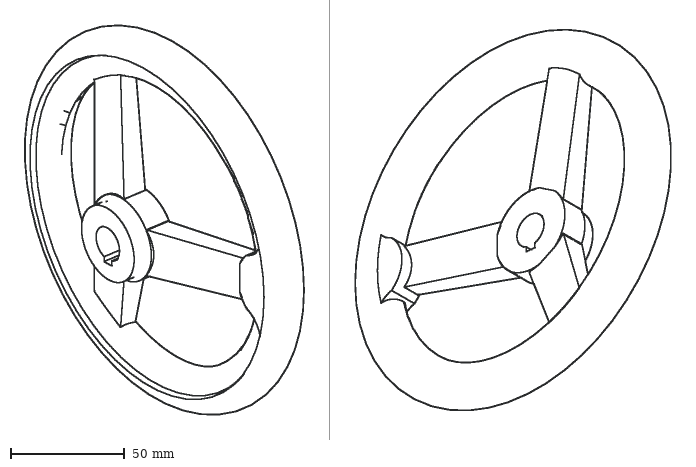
import cadquery as cq
import math


arc_inset = 1 - math.sqrt(0.5)

wheel_radius = 90.0
rim_width = 20.0
rim_crown_radius = rim_width / 2
rim_crest_radius = wheel_radius - rim_crown_radius
step_radius = 79.2
step_depth = 2.7
dish_inner_radius = 71.1
dish_inner_y = -15.0
rim_inner_radius = 68.0
dish_y = step_depth - rim_width

total_width = 42.5
hub_radius = 20.3
nose_radius = 18.0
hub_front_y = -34.5
hub_back_y = -21.5
cove_end_y = -37.6
bore_diameter = 16.0
key_width = 5.0
key_reach = 10.0

spoke_count = 3
spoke_root_radius = 17.0
spoke_end_radius = 72.9
spoke_root_width = 23.4
spoke_end_width = 20.5
spoke_front_slope = 0.4
spoke_back_slope = 0.33
spoke_back_root_y = -22.3

boss_radius = 18.0
boss_x = 76.7
flank_x = 64.8
lug_back_y = -2.2
hollow_radius = 11.7
hollow_center = (62.8, 26.0)


def make_rim():
    back_arc_radius = rim_crest_radius - rim_inner_radius
    back_inset = back_arc_radius * arc_inset
    back_mid = (rim_inner_radius + back_inset, -back_inset)
    lip_mid = (
        rim_inner_radius + arc_inset * (dish_inner_radius - rim_inner_radius),
        dish_inner_y + arc_inset * (-back_arc_radius - dish_inner_y),
    )
    profile = (
        cq.Workplane("XY")
        .moveTo(rim_crest_radius, 0)
        .threePointArc((wheel_radius, -rim_crown_radius), (rim_crest_radius, -rim_width))
        .lineTo(step_radius, dish_y)
        .lineTo(dish_inner_radius, dish_inner_y)
        .threePointArc(lip_mid, (rim_inner_radius, -back_arc_radius))
        .threePointArc(back_mid, (rim_crest_radius, 0))
        .close()
    )
    return profile.revolve(360, (0, 0, 0), (0, 1, 0))


def make_hub():
    cove_mid = (
        nose_radius + arc_inset * (hub_radius - nose_radius),
        hub_front_y + arc_inset * (cove_end_y - hub_front_y),
    )
    profile = (
        cq.Workplane("XY")
        .moveTo(0, hub_back_y)
        .lineTo(hub_radius, hub_back_y)
        .lineTo(hub_radius, hub_front_y)
        .threePointArc(cove_mid, (nose_radius, cove_end_y))
        .lineTo(nose_radius, -total_width)
        .lineTo(0, -total_width)
        .close()
    )
    return profile.revolve(360, (0, 0, 0), (0, 1, 0))


def make_spoke():
    length = spoke_end_radius - spoke_root_radius
    side = (
        cq.Workplane("XY")
        .moveTo(spoke_root_radius, hub_front_y)
        .lineTo(spoke_end_radius, hub_front_y + spoke_front_slope * length)
        .lineTo(spoke_end_radius, spoke_back_root_y + spoke_back_slope * length)
        .lineTo(spoke_root_radius, spoke_back_root_y)
        .close()
        .extrude(spoke_root_width, both=True)
    )
    taper = (
        cq.Workplane("XZ")
        .moveTo(spoke_root_radius, -spoke_root_width / 2)
        .lineTo(spoke_end_radius, -spoke_end_width / 2)
        .lineTo(spoke_end_radius, spoke_end_width / 2)
        .lineTo(spoke_root_radius, spoke_root_width / 2)
        .close()
        .extrude(total_width)
    )
    return side.intersect(taper)


def make_lug():
    hollow_x, hollow_z = hollow_center
    hollow_edge_x = hollow_x + hollow_radius
    diagonal = hollow_radius * math.sqrt(0.5)
    hollow_mid = (hollow_x + diagonal, hollow_z - diagonal)
    flank_z = math.sqrt(boss_radius**2 - (boss_x - flank_x) ** 2)
    step_z = math.sqrt(step_radius**2 - hollow_edge_x**2)
    outline = (
        cq.Workplane("XZ", origin=(0, lug_back_y, 0))
        .moveTo(flank_x, -flank_z)
        .threePointArc((boss_x - boss_radius, 0), (flank_x, flank_z))
        .threePointArc(hollow_mid, (hollow_edge_x, hollow_z))
        .lineTo(hollow_edge_x, step_z)
        .threePointArc((step_radius, 0), (hollow_edge_x, -step_z))
        .lineTo(hollow_edge_x, -hollow_z)
        .threePointArc((hollow_mid[0], -hollow_mid[1]), (flank_x, -flank_z))
        .close()
    )
    return outline.extrude(lug_back_y - dish_y)


def make_bore():
    bore = cq.Workplane("XZ").circle(bore_diameter / 2).extrude(total_width)
    keyway = (
        cq.Workplane("XZ")
        .center(0, -key_reach / 2)
        .rect(key_width, key_reach)
        .extrude(total_width)
    )
    return bore.union(keyway)


wheel = make_rim().union(make_hub()).union(make_lug())
for index in range(spoke_count):
    angle = index * 360 / spoke_count
    wheel = wheel.union(make_spoke().rotate((0, 0, 0), (0, 1, 0), angle))

result = wheel.cut(make_bore())